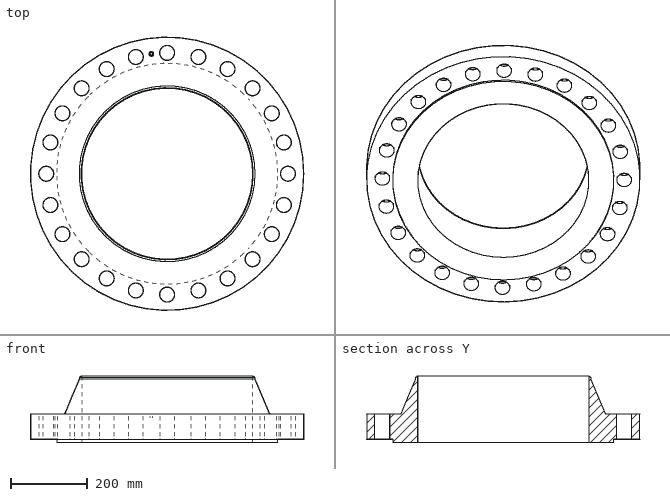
import cadquery as cq
import math

flange_diameter = 711.0
flange_thickness = 66.7
raised_face_diameter = 575.0
raised_face_height = 7.95
overall_height = 173.05

bore_diameter = 444.5
hub_base_diameter = 533.4
hub_base_fillet = 3.0
weld_end_diameter = 457.2
weld_end_length = 8.0
weld_land_width = 1.6
bevel_angle = 37.5

bolt_count = 24
bolt_circle_diameter = 628.6
bolt_hole_diameter = 38.1

small_hole_diameter = 7.0
small_hole_depth = 10.0
small_counterbore_diameter = 12.5
small_counterbore_depth = 1.0

flange_bottom = raised_face_height
flange_top = flange_bottom + flange_thickness
bolt_circle_radius = bolt_circle_diameter / 2
bolt_pitch_angle = 360.0 / bolt_count
small_hole_angle = 90.0 + bolt_pitch_angle / 2


def make_body():
    """Revolve the half section of raised face, flange ring, hub and weld end about Z."""
    bore_radius = bore_diameter / 2
    raised_face_radius = raised_face_diameter / 2
    flange_radius = flange_diameter / 2
    hub_radius = hub_base_diameter / 2
    weld_radius = weld_end_diameter / 2
    land_radius = bore_radius + weld_land_width
    bevel_height = (weld_radius - land_radius) * math.tan(math.radians(bevel_angle))
    return (
        cq.Workplane("XZ")
        .moveTo(bore_radius, 0)
        .lineTo(raised_face_radius, 0)
        .lineTo(raised_face_radius, flange_bottom)
        .lineTo(flange_radius, flange_bottom)
        .lineTo(flange_radius, flange_top)
        .lineTo(hub_radius, flange_top)
        .lineTo(weld_radius, overall_height - weld_end_length)
        .lineTo(weld_radius, overall_height - bevel_height)
        .lineTo(land_radius, overall_height)
        .lineTo(bore_radius, overall_height)
        .close()
        .revolve(360, (0, 0, 0), (0, 1, 0))
    )


def round_hub_base(body):
    """Fillet the inside corner where the hub meets the top of the flange."""
    flange_top_edges = body.faces("|Z").faces(">Z[-2]").edges("%CIRCLE")
    hub_base_edge = flange_top_edges.edges(cq.selectors.RadiusNthSelector(0))
    return hub_base_edge.fillet(hub_base_fillet)


def make_bolt_holes():
    """Cylinders that drill the bolt circle through the flange."""
    return (
        cq.Workplane("XY")
        .workplane(offset=flange_bottom)
        .polarArray(bolt_circle_radius, 0, 360, bolt_count)
        .circle(bolt_hole_diameter / 2)
        .extrude(flange_thickness)
    )


def sunk_cylinder(diameter, depth):
    """Cylinder sunk into the top of the flange at the place of the small hole."""
    return (
        cq.Workplane("XY")
        .workplane(offset=flange_top)
        .polarArray(bolt_circle_radius, small_hole_angle, 360, 1)
        .circle(diameter / 2)
        .extrude(-depth)
    )


def make_small_hole():
    """Blind hole with a shallow counterbore at its mouth."""
    hole = sunk_cylinder(small_hole_diameter, small_hole_depth)
    counterbore = sunk_cylinder(small_counterbore_diameter, small_counterbore_depth)
    return hole.union(counterbore)


result = round_hub_base(make_body()).cut(make_bolt_holes()).cut(make_small_hole())